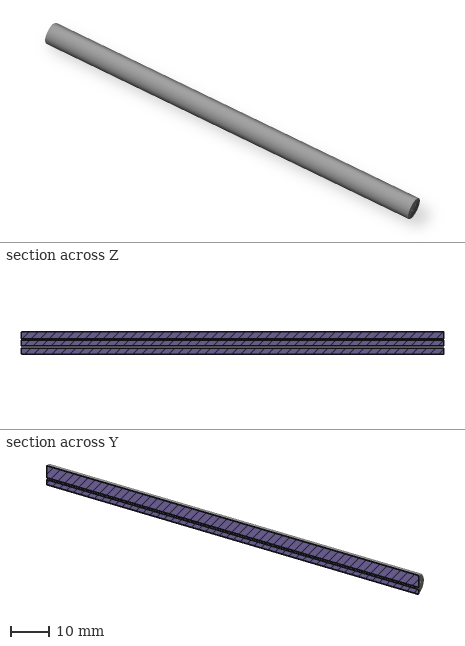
import cadquery as cq
import math

length = 110.0
rod_diameter = 6.0
end_chamfer = 0.3
hole_diameter = 0.5
hole_circle_radius = 1.1
hole_count = 3
first_hole_angle = -83.0


def end_plane():
    """Sketch plane on the -X end of the rod."""
    return cq.Workplane("YZ", origin=(-length / 2, 0, 0))


def make_rod():
    """Cylinder along X, centred on the origin, with the -X end rim chamfered."""
    rod = end_plane().circle(rod_diameter / 2).extrude(length)
    return rod.faces("<X").chamfer(end_chamfer)


def make_hole_cutters():
    """Equally spaced through bores parallel to the axis."""
    centres = []
    for index in range(hole_count):
        angle = math.radians(first_hole_angle + index * 360 / hole_count)
        y = hole_circle_radius * math.cos(angle)
        z = hole_circle_radius * math.sin(angle)
        centres.append((y, z))
    return end_plane().pushPoints(centres).circle(hole_diameter / 2).extrude(length)


result = make_rod().cut(make_hole_cutters())